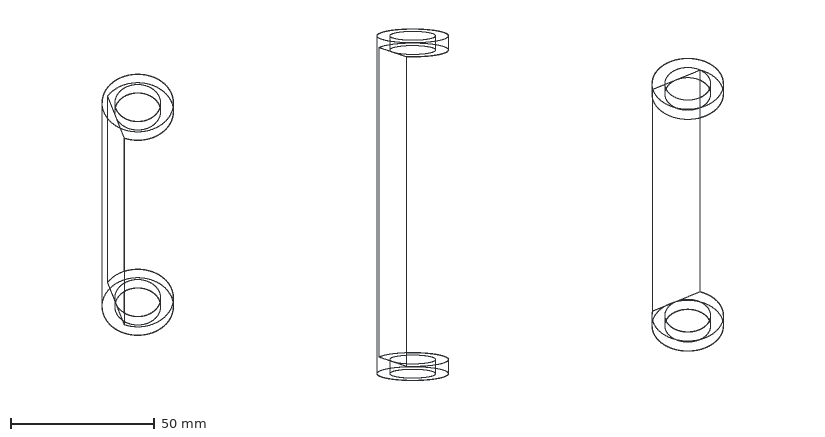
import cadquery as cq

length = 120.0
outer_diameter = 25.0
bore_diameter = 16.0

ring_height = 5.0
strip_inner_y = -bore_diameter / 2


def make_tube():
    """Full-length tube along Z, standing on the XY plane."""
    return cq.Workplane("XY").circle(outer_diameter / 2).circle(bore_diameter / 2).extrude(length)


def make_opening():
    """Block that clears everything behind the strip between the two rings."""
    return cq.Workplane("XY").box(
        outer_diameter,
        outer_diameter,
        length - 2 * ring_height,
        centered=(True, False, False),
    ).translate((0, strip_inner_y, ring_height))


result = make_tube().cut(make_opening())